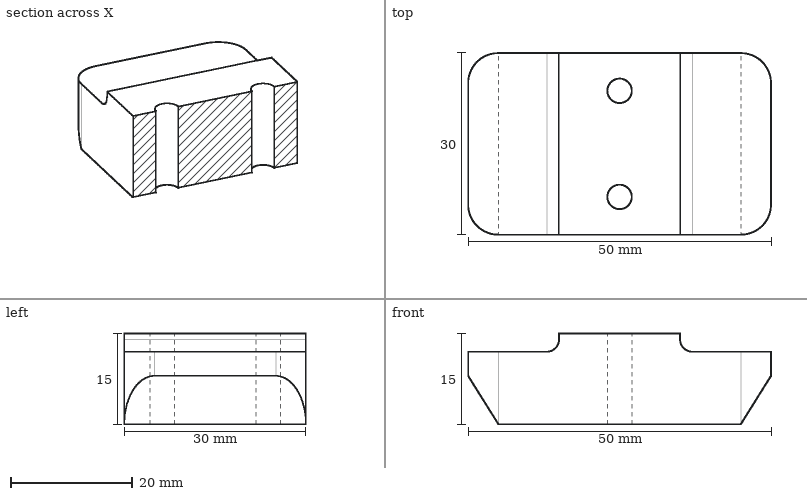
import cadquery as cq

length = 50.0
width = 30.0
height = 15.0
corner_radius = 5.0

shoulder_height = 12.0
pad_length = 20.0
pad_fillet = 2.0

slope_run = corner_radius
slope_height = 8.0

hole_diameter = 4.0
hole_spacing = 17.5

half_length = length / 2
half_pad = pad_length / 2
half_base = half_length - slope_run


def end_profile():
    """XZ outline of the block, extruded across its width and centred on Y."""
    return (
        cq.Workplane("XZ")
        .moveTo(-half_base, 0)
        .lineTo(half_base, 0)
        .lineTo(half_length, slope_height)
        .lineTo(half_length, shoulder_height)
        .lineTo(half_pad + pad_fillet, shoulder_height)
        .radiusArc((half_pad, shoulder_height + pad_fillet), pad_fillet)
        .lineTo(half_pad, height)
        .lineTo(-half_pad, height)
        .lineTo(-half_pad, shoulder_height + pad_fillet)
        .radiusArc((-half_pad - pad_fillet, shoulder_height), pad_fillet)
        .lineTo(-half_length, shoulder_height)
        .lineTo(-half_length, slope_height)
        .close()
        .extrude(width / 2, both=True)
    )


def rounded_plan():
    """Rectangular plan with rounded vertical corners."""
    return (
        cq.Workplane("XY")
        .rect(length, width)
        .extrude(height)
        .edges("|Z")
        .fillet(corner_radius)
    )


def mounting_holes():
    """Two vertical cylinders spaced along Y."""
    return (
        cq.Workplane("XY")
        .pushPoints([(0, -hole_spacing / 2), (0, hole_spacing / 2)])
        .circle(hole_diameter / 2)
        .extrude(height)
    )


result = end_profile().intersect(rounded_plan()).cut(mounting_holes())